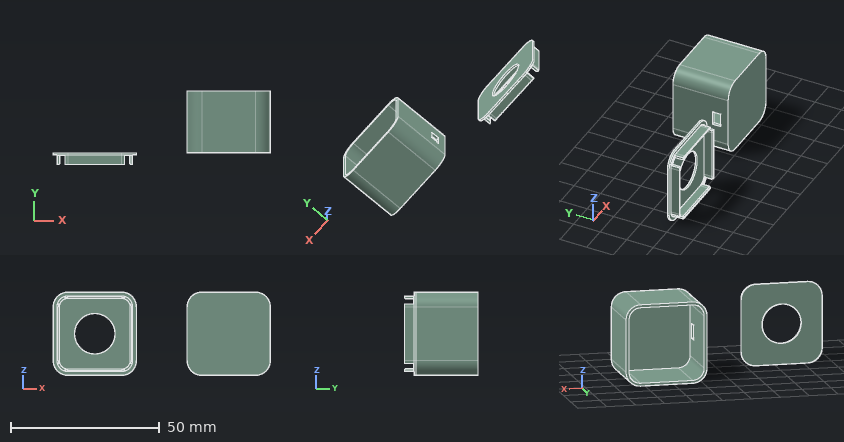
import cadquery as cq

length = 73.0
side = 28.0
corner_radius = 5.05

housing_depth = 20.9
wall = 1.0
window_depth = 3.1
window_height = 5.05
window_setback = 2.85

plate_thickness = 0.65
rim_height = 0.2
snap_height = 3.3
rim_inset = 1.3
rim_width = 0.8
snap_length = 20.0
tip_chamfer = 0.4
hole_diameter = 13.5

housing_x = (length - side) / 2
cover_x = -housing_x


def rounded_block(center_x, y_start, depth, inset=0.0):
    """Rounded square, inset from the common outline, extruded toward +Y."""
    size = side - 2 * inset
    return (
        cq.Workplane("XY")
        .box(size, depth, size)
        .edges("|Y")
        .fillet(corner_radius - inset)
        .translate((center_x, y_start + depth / 2, 0))
    )


def make_housing():
    shell = rounded_block(housing_x, 0, housing_depth)
    cavity = rounded_block(housing_x, wall, housing_depth - wall, wall)
    window = cq.Workplane("XY").box(wall, window_depth, window_height).translate(
        (housing_x - side / 2 + wall / 2, window_setback + window_depth / 2, 0)
    )
    return shell.cut(cavity).cut(window)


def make_ring(height):
    """Rim-shaped ring standing on the front face of the plate."""
    y_tip = -plate_thickness - height
    outer = rounded_block(cover_x, y_tip, height, rim_inset)
    inner = rounded_block(cover_x, y_tip, height, rim_inset + rim_width)
    return outer.cut(inner)


def make_snap_walls():
    """Full-height ring with a chamfered inner tip, kept only along its four sides."""
    ring = make_ring(snap_height)
    inner_edges = ring.faces("<Y").val().innerWires()[0].Edges()
    ring = ring.newObject(inner_edges).chamfer(tip_chamfer)
    crossbar = cq.Workplane("XY").box(side, snap_height, snap_length)
    upright = cq.Workplane("XY").box(snap_length, snap_height, side)
    middle = (cover_x, -plate_thickness - snap_height / 2, 0)
    return ring.intersect(crossbar.union(upright).translate(middle))


def make_cover():
    plate = rounded_block(cover_x, -plate_thickness, plate_thickness)
    hole = (
        cq.Workplane("XZ", origin=(cover_x, 0, 0))
        .circle(hole_diameter / 2)
        .extrude(plate_thickness)
    )
    return plate.cut(hole).union(make_ring(rim_height)).union(make_snap_walls())


housing = make_housing()
cover = make_cover()
result = cq.Compound.makeCompound([*housing.solids().vals(), *cover.solids().vals()])